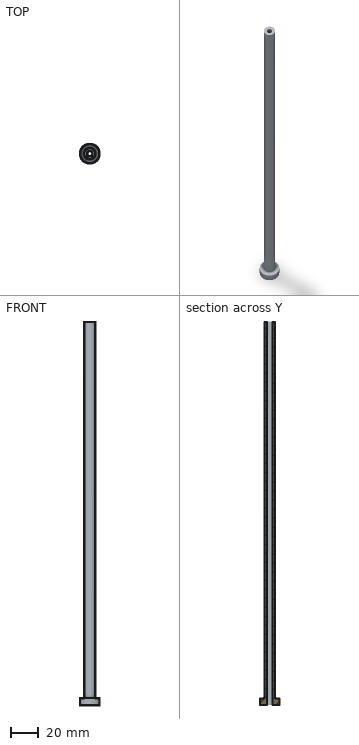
import cadquery as cq

total_length = 275.0
head_diameter = 14.0
head_height = 5.2
tube_diameter = 8.0
bore_diameter = 3.8
neck_fillet = 0.5

head_radius = head_diameter / 2
tube_radius = tube_diameter / 2
bore_radius = bore_diameter / 2

half_section = (
    cq.Workplane("XZ")
    .moveTo(-bore_radius, 0)
    .lineTo(-head_radius, 0)
    .lineTo(-head_radius, head_height)
    .lineTo(-tube_radius - neck_fillet, head_height)
    .radiusArc((-tube_radius, head_height + neck_fillet), -neck_fillet)
    .lineTo(-tube_radius, total_length)
    .lineTo(-bore_radius, total_length)
    .close()
)

result = half_section.revolve(360, (0, 0, 0), (0, 1, 0))